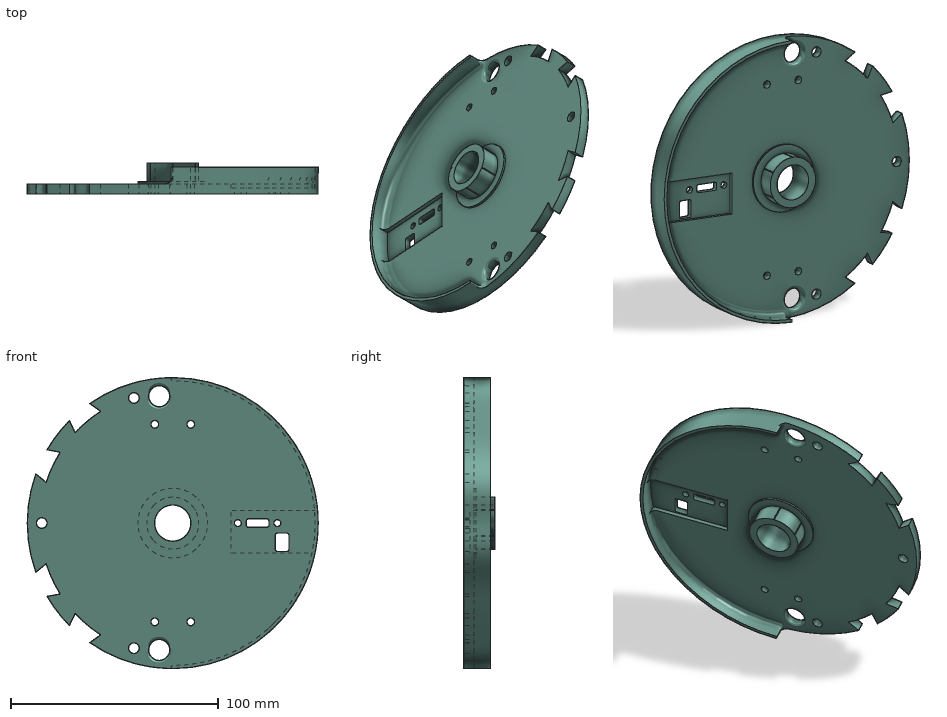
import cadquery as cq
import math

DISC_RADIUS = 70.0
PLATE_THICKNESS = 5.0

RIM_HEIGHT = 13.0
RIM_WALL = 1.5
RIM_FILLET = 3.0

PAD_RADIUS = 16.75
PAD_TOP = 6.0
BOSS_RADIUS = 12.5
BOSS_TOP = 15.0
HEX_ACROSS_FLATS = 21.85
HEX_HALF_SECTOR = 30.0
BORE_DIAMETER = 17.3

NOTCH_ANGLES = (130.0, 155.0, 205.0, 230.0)
NOTCH_FLOOR_RADIUS = 64.0
NOTCH_MOUTH_HALF_ANGLE = 5.2
NOTCH_FLOOR_HALF_ANGLE = 7.15

EDGE_HOLE_DIAMETER = 5.0
EDGE_HOLE_CIRCLE_RADIUS = 63.0
EDGE_HOLE_ANGLES = (107.25, 180.0, 252.75)

LARGE_HOLE_DIAMETER = 10.0
LARGE_HOLE_ROUNDING = 1.5
LARGE_HOLE_X = -6.5
LARGE_HOLE_Z = 61.0

SCREW_HOLE_DIAMETER = 3.6
SCREW_HOLE_X = 8.65
SCREW_HOLE_Z = 47.5

SLOT_CENTRE_X = 40.8
SLOT_LENGTH = 10.8
SLOT_WIDTH = 4.0
SLOT_CORNER = 1.0
SLOT_SCREW_DIAMETER = 3.2
SLOT_SCREW_SPACING = 19.0

WINDOW_CENTRE_X = 52.6
WINDOW_CENTRE_Z = -9.25
WINDOW_WIDTH = 6.4
WINDOW_HEIGHT = 8.8
WINDOW_CORNER = 1.0

RECESS_FLOOR = 3.0
RECESS_X_MIN = 28.0
RECESS_Z_MIN = -14.4
RECESS_Z_MAX = 6.0


def at_depth(y):
    """Sketch plane parallel to XZ at the given Y; local x is X, local y is Z."""
    return cq.Workplane("XZ", origin=(0, y, 0))


def prism(sketch, length):
    """Extrude an XZ sketch toward +Y."""
    return sketch.extrude(-length)


def polar(radius, angle):
    """X and Z of a point on a circle about the disc axis."""
    return radius * math.cos(math.radians(angle)), radius * math.sin(math.radians(angle))


def make_rim_clearance():
    """Solid that hollows the plate blank, leaving the rim with round ends and a fillet at its foot."""
    rim_end_radius = RIM_WALL / 2
    inner_radius = DISC_RADIUS - RIM_WALL
    end_centre_z = DISC_RADIUS - rim_end_radius
    beyond = 2 * DISC_RADIUS
    outline = (
        at_depth(PLATE_THICKNESS)
        .moveTo(0, inner_radius)
        .threePointArc((-rim_end_radius, end_centre_z), (0, DISC_RADIUS))
        .lineTo(0, beyond)
        .lineTo(-beyond, beyond)
        .lineTo(-beyond, -beyond)
        .lineTo(0, -beyond)
        .lineTo(0, -DISC_RADIUS)
        .threePointArc((-rim_end_radius, -end_centre_z), (0, -inner_radius))
        .threePointArc((inner_radius, 0), (0, inner_radius))
        .close()
    )
    clearance = prism(outline, RIM_HEIGHT - PLATE_THICKNESS)
    return clearance.faces("<Y").edges().fillet(RIM_FILLET)


def make_plate_with_rim():
    blank = prism(at_depth(0).circle(DISC_RADIUS), RIM_HEIGHT)
    return blank.cut(make_rim_clearance())


def make_hub():
    pad = prism(at_depth(0).circle(PAD_RADIUS), PAD_TOP)
    boss = prism(at_depth(0).circle(BOSS_RADIUS), BOSS_TOP)
    hex_diameter = HEX_ACROSS_FLATS / math.cos(math.radians(HEX_HALF_SECTOR))
    corners = prism(at_depth(0).polygon(6, hex_diameter), BOSS_TOP)
    corners = corners.rotate((0, 0, 0), (0, 1, 0), HEX_HALF_SECTOR)
    return pad.union(boss).union(corners)


def make_notch(angle):
    outside_radius = 2 * DISC_RADIUS - NOTCH_FLOOR_RADIUS
    mouth = [polar(DISC_RADIUS, angle + side * NOTCH_MOUTH_HALF_ANGLE) for side in (-1, 1)]
    floor = [polar(NOTCH_FLOOR_RADIUS, angle + side * NOTCH_FLOOR_HALF_ANGLE) for side in (-1, 1)]
    outline = (
        at_depth(0)
        .moveTo(*mouth[0])
        .lineTo(*floor[0])
        .threePointArc(polar(NOTCH_FLOOR_RADIUS, angle), floor[1])
        .lineTo(*mouth[1])
        .threePointArc(polar(outside_radius, angle), mouth[0])
        .close()
    )
    return prism(outline, PLATE_THICKNESS)


def make_holes(points, diameter, depth=PLATE_THICKNESS):
    return prism(at_depth(0).pushPoints(points).circle(diameter / 2), depth)


def make_rounded_window(x, z, width, height, corner):
    window = prism(at_depth(0).center(x, z).rect(width, height), PLATE_THICKNESS)
    return window.edges("|Y").fillet(corner)


def make_large_hole(z):
    """Through hole with both edges rounded off; the tool continues straight above the plate."""
    radius = LARGE_HOLE_DIAMETER / 2
    rounding = LARGE_HOLE_ROUNDING
    mouth_radius = radius + rounding
    arc_inset = rounding * (1 - math.sqrt(0.5))
    profile = (
        cq.Workplane("XY")
        .lineTo(mouth_radius, 0)
        .threePointArc((radius + arc_inset, arc_inset), (radius, rounding))
        .lineTo(radius, PLATE_THICKNESS - rounding)
        .threePointArc((radius + arc_inset, PLATE_THICKNESS - arc_inset), (mouth_radius, PLATE_THICKNESS))
        .lineTo(mouth_radius, RIM_HEIGHT)
        .lineTo(0, RIM_HEIGHT)
        .close()
    )
    return profile.revolve(360, (0, 0), (0, 1)).translate((LARGE_HOLE_X, 0, z))


def make_recess():
    """Rectangular pocket reaching out to the inside of the rim."""
    height = RIM_HEIGHT - RECESS_FLOOR
    block = cq.Workplane().box(DISC_RADIUS, height, RECESS_Z_MAX - RECESS_Z_MIN, centered=False)
    block = block.translate((RECESS_X_MIN, RECESS_FLOOR, RECESS_Z_MIN))
    return block.intersect(prism(at_depth(0).circle(DISC_RADIUS - RIM_WALL), RIM_HEIGHT))


result = make_plate_with_rim().union(make_hub())

for notch_angle in NOTCH_ANGLES:
    result = result.cut(make_notch(notch_angle))

result = result.cut(make_recess())
result = result.cut(make_holes([(0, 0)], BORE_DIAMETER, BOSS_TOP))

edge_points = [polar(EDGE_HOLE_CIRCLE_RADIUS, angle) for angle in EDGE_HOLE_ANGLES]
result = result.cut(make_holes(edge_points, EDGE_HOLE_DIAMETER))

screw_points = [(sx * SCREW_HOLE_X, sz * SCREW_HOLE_Z) for sx in (-1, 1) for sz in (-1, 1)]
result = result.cut(make_holes(screw_points, SCREW_HOLE_DIAMETER))

slot_screw_points = [(SLOT_CENTRE_X + side * SLOT_SCREW_SPACING / 2, 0) for side in (-1, 1)]
result = result.cut(make_holes(slot_screw_points, SLOT_SCREW_DIAMETER))

result = result.cut(make_rounded_window(SLOT_CENTRE_X, 0, SLOT_LENGTH, SLOT_WIDTH, SLOT_CORNER))
result = result.cut(
    make_rounded_window(WINDOW_CENTRE_X, WINDOW_CENTRE_Z, WINDOW_WIDTH, WINDOW_HEIGHT, WINDOW_CORNER)
)

for side in (-1, 1):
    result = result.cut(make_large_hole(side * LARGE_HOLE_Z))